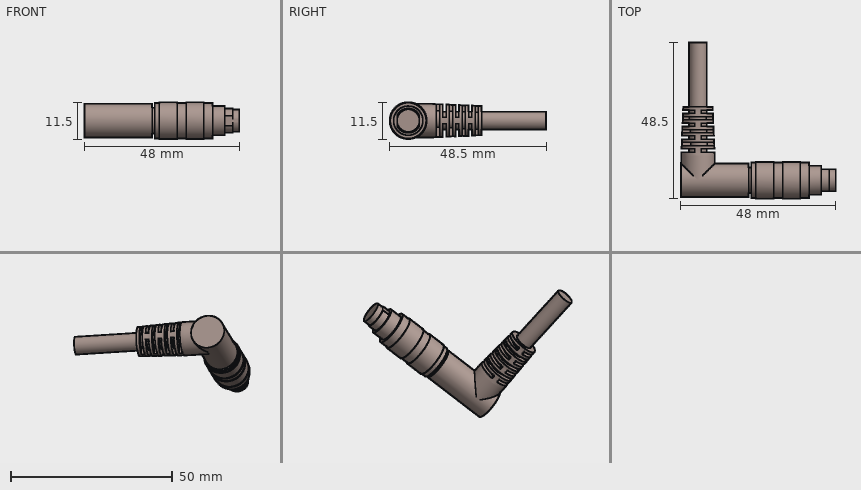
import cadquery as cq


body_radius = 5.25
body_length = 21.0

groove_radius = 4.0
ring_radius = 5.55
grip_radius = 5.75
collar_radius = 4.55
nose_radius = 3.8
tip_radius = 3.5
overall_length = 48.0
collar_end = 43.5
plug_steps = [
    (groove_radius, 21.75),
    (ring_radius, 23.25),
    (grip_radius, 28.75),
    (ring_radius, 31.5),
    (grip_radius, 37.0),
    (ring_radius, 39.75),
    (collar_radius, collar_end),
    (nose_radius, 46.0),
    (tip_radius, overall_length),
]
nose_flat_offset = 3.45

taper_start = 7.65
boot_end = 22.75
boot_end_radius = 4.6
cable_radius = 2.8
overall_width = 48.5
cable_end = overall_width - grip_radius

slot_width = 1.0
slot_pitch = 4.0
rib_thickness = 2.0
side_slot_count = 4
top_slot_count = 3
first_side_slot = boot_end - 2 * slot_width
first_top_slot = first_side_slot - slot_pitch / 2
taper_slope = (body_radius - boot_end_radius) / (boot_end - taper_start)
core_shift = slot_pitch * taper_slope

body_start = -body_radius


def cylinder_along_x(radius, start, end):
    return cq.Workplane("YZ", origin=(start, 0, 0)).circle(radius).extrude(end - start)


def cylinder_along_y(radius, start, end, x=0.0, z=0.0):
    return cq.Workplane("XZ", origin=(x, start, z)).circle(radius).extrude(start - end)


def block(x_size, y_size, z_size, y_start):
    """Box centred on X and Z that starts at y_start."""
    return cq.Workplane("XY").box(x_size, y_size, z_size).translate((0, y_start + y_size / 2, 0))


def make_plug():
    plug = cylinder_along_x(body_radius, body_start, body_start + body_length)
    step_start = body_length
    for radius, step_end in plug_steps:
        plug = plug.union(cylinder_along_x(radius, body_start + step_start, body_start + step_end))
        step_start = step_end
    return plug


def cut_nose_flats(plug):
    """Flatten the nose and tip on the +Y and -Y sides."""
    nose_length = overall_length - collar_end
    flat_depth = nose_radius - nose_flat_offset
    for side in (1, -1):
        cutter = cq.Workplane("XY").box(nose_length, flat_depth, 2 * nose_radius)
        cutter = cutter.translate((
            body_start + collar_end + nose_length / 2,
            side * (nose_flat_offset + flat_depth / 2),
            0,
        ))
        plug = plug.cut(cutter)
    return plug


def slot_cutter(start, rib_along_z, drift):
    """Slice of the strain relief without the rib and the round core left in the slot."""
    span = 2 * body_radius + slot_width
    cutter = block(span, slot_width, span, start)
    if rib_along_z:
        rib = block(rib_thickness, slot_width, span, start)
        core = cylinder_along_y(cable_radius, start, start + slot_width, z=drift)
    else:
        rib = block(span, slot_width, rib_thickness, start)
        core = cylinder_along_y(cable_radius, start, start + slot_width, x=drift)
    return cutter.cut(rib).cut(core)


def make_strain_relief():
    profile = [
        (0, 0),
        (body_radius, 0),
        (body_radius, taper_start),
        (boot_end_radius, boot_end),
        (0, boot_end),
    ]
    boot = cq.Workplane("XY").polyline(profile).close().revolve(360, (0, 0, 0), (0, 1, 0))
    for i in range(side_slot_count):
        boot = boot.cut(slot_cutter(first_side_slot - i * slot_pitch, True, i * core_shift))
    for i in range(top_slot_count):
        boot = boot.cut(slot_cutter(first_top_slot - i * slot_pitch, False, i * core_shift))
    return boot


def make_cable():
    return cylinder_along_y(cable_radius, boot_end, cable_end)


result = cut_nose_flats(make_plug()).union(make_strain_relief()).union(make_cable())